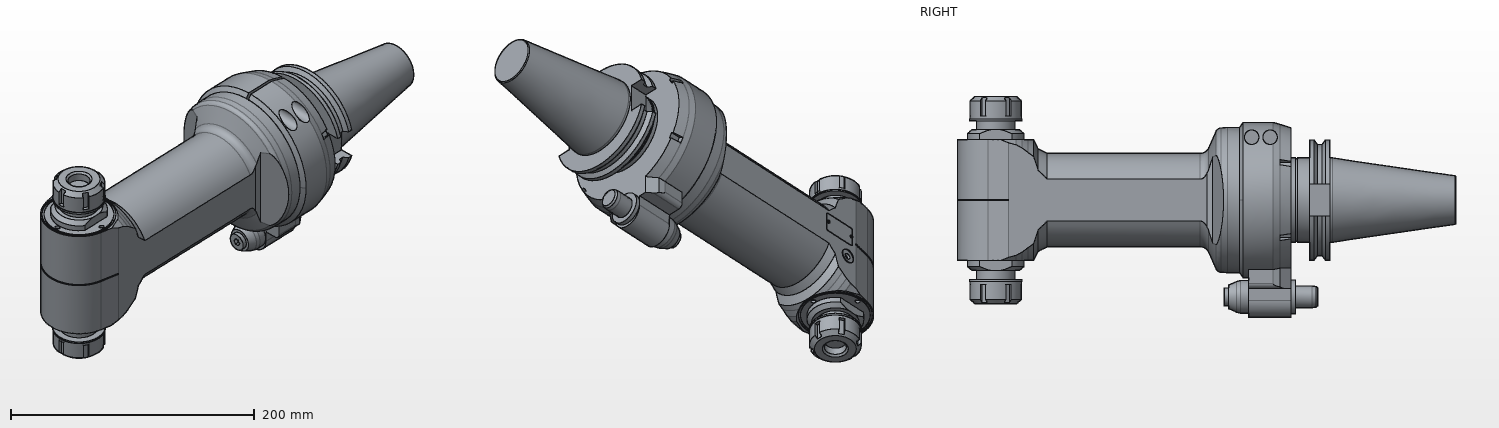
import cadquery as cq
import math


taper_end = 101.5
flange_start = 103.5
flange_end = 120.5
collar_start = 135.5
collar_end = 177.8
arm_start = 210.5
arm_end = 336.0
head_start = 347.0
spindle_station = 378.0
overall_length = 409.5

taper_small_radius = 20.0
taper_end_chamfer = 1.0
neck_radius = 35.0
flange_radius = 49.5
flange_lip = 3.5
v_groove_depth = 3.5
v_groove_run = 3.0
relief_start = 130.3
relief_width = 1.5
relief_depth = 1.0
key_slot_width = 26.2
key_slot_floor = 36.0

collar_radius = 64.0
collar_rear_radius = 59.5
collar_bevel_radius = 62.3
collar_bevel_end = 144.5
collar_bevel_blend = 150.5
collar_front_bevel_start = 175.0
slit_width = 2.5
wrench_notch_width = 5.0
wrench_notch_floor = 57.5
wrench_notch_angles = (60, 120, 240, 300)
clamp_hole_diameter = 12.0
clamp_hole_height = 51.5
clamp_hole_floor = 16.5
clamp_hole_stations = (152.8, 168.0)

lug_length = 35.0
lug_base_half_width = 28.5
lug_bevel_half_width = 27.5
lug_rear_half_width = 20.5
lug_base_bottom = -72.5
lug_base_corner_radius = 4.0
pin_height = -79.5
lug_eye_height = -82.5
lug_eye_radius = 14.0
pin_radius = 9.0
pin_rear = 113.5
pin_shoulder_length = 3.5
pin_shoulder_radius = 14.0
pin_cap_radius = 13.5
pin_cap_straight = 6.5
pin_cap_bevel_end = 180.2
pin_cap_bevel_radius = 12.5
pin_cone_end = 186.8
pin_cone_radius = 10.0
pin_tip_radius = 7.5
pin_front = 190.5
pin_nose_radius = 7.5
pin_crown_length = 1.5
pin_crown_radius = 8.5
pin_lead_end = 118.5
pin_socket_size = 6.0
pin_socket_depth = 3.3

hub_radius = 60.0
hub_land_end = 187.5
hub_front_radius = 59.5
hub_round_start = 193.0
cone_start = 197.0
cone_start_radius = 57.0
cone_end = 203.0
cone_end_radius = 43.0
arm_radius = 38.5
flat_half_width = 34.5
hub_flat_outer_station = 191.0
hub_flat_inner_station = 200.0
hub_flat_inner_half_width = 36.0
hub_flat_root_station = 204.5
head_half_height = 49.5
head_shoulder_station = 367.5
head_flare = (
    (343.2, 42.0),
    (head_start, head_half_height),
    (351.5, 52.0),
    (356.5, 55.0),
    (361.3, 57.0),
    (374.8, 60.0),
)
seam_width = 1.0
seam_depth = 0.5
ring_groove_outer_radius = 30.5
ring_groove_inner_radius = 28.5
ring_groove_depth = 1.0
face_hole_diameter = 4.0
face_hole_circle_radius = 26.0
face_hole_depth = 2.5
face_hole_count = 4
plate_start = 333.0
plate_length = 30.0
plate_bottom = -5.0
plate_height = 18.5
plate_corner_radius = 1.5
plate_thickness = 0.5
rivet_diameter = 2.5
rivet_inset = 1.5
rivet_rise = 1.2
plug_station = 358.5
plug_height = -17.5
plug_diameter = 12.5
plug_recess = 1.0
plug_socket_diameter = 5.5
plug_socket_depth = 3.3

boss_radius = 23.5
boss_top_radius = 19.5
boss_bevel_height = 54.5
boss_top = 57.8
boss_flat_half_width = 19.3
spindle_neck_radius = 16.0
nut_bottom = 65.0
nut_rim_top = 66.8
nut_top = 85.0
nut_rim_radius = 21.7
nut_radius = 21.5
nut_chamfer_height = 3.5
nut_face_radius = 17.0
nut_slot_count = 6
nut_slot_width = 5.0
nut_slot_bottom = 69.2
nut_slot_floor = 18.5
bore_radius = 9.0
bore_mouth_radius = 10.5
bore_depth = 8.0


def on_axis(points):
    """Turn (station, radius) pairs into points of the XY plane."""
    return [(radius, -station) for station, radius in points]


def turned(points):
    """Revolve a closed (station, radius) outline about the Y axis."""
    return cq.Workplane("XY").polyline(on_axis(points)).close().revolve(360, (0, 0), (0, 1))


def block(x_range, station_range, z_range):
    """Box given by its limits in X, station and Z."""
    x0, x1 = x_range
    s0, s1 = station_range
    z0, z1 = z_range
    box = cq.Workplane("XY").box(x1 - x0, s1 - s0, z1 - z0, centered=False)
    return box.translate((x0, -s1, z0))


def cylinder_along_x(x0, x1, station, height, diameter):
    """Cylinder parallel to X between x0 and x1."""
    disc = cq.Workplane("YZ", origin=(x0, -station, height)).circle(diameter / 2)
    return disc.extrude(x1 - x0)


def make_shank():
    groove_bottom = flange_radius - v_groove_depth
    outline = [
        (0, 0),
        (0, taper_small_radius - taper_end_chamfer),
        (taper_end_chamfer, taper_small_radius),
        (taper_end, neck_radius),
        (flange_start, neck_radius),
        (flange_start, flange_radius),
        (flange_start + flange_lip, flange_radius),
        (flange_start + flange_lip + v_groove_run, groove_bottom),
        (flange_end - flange_lip - v_groove_run, groove_bottom),
        (flange_end - flange_lip, flange_radius),
        (flange_end, flange_radius),
        (flange_end, neck_radius),
        (relief_start, neck_radius),
        (relief_start, neck_radius - relief_depth),
        (relief_start + relief_width, neck_radius - relief_depth),
        (relief_start + relief_width, neck_radius),
        (collar_end, neck_radius),
        (collar_end, 0),
    ]
    shank = turned(outline)
    half_slot = key_slot_width / 2
    for x_range in ((-flange_radius, -key_slot_floor), (key_slot_floor, flange_radius)):
        shank = shank.cut(block(x_range, (flange_start, flange_end), (-half_slot, half_slot)))
    return shank


def make_lug():
    """Block under the collar that ends in a rounded eye for the stop pin."""
    stations = (collar_start, collar_start + lug_length)
    half_plan = [
        (stations[0], lug_rear_half_width),
        (collar_bevel_end, lug_bevel_half_width),
        (collar_bevel_blend, lug_base_half_width),
        (stations[1], lug_base_half_width),
    ]
    right_side = on_axis(half_plan)
    left_side = [(-x, y) for x, y in reversed(right_side)]
    plan = (
        cq.Workplane("XY", origin=(0, 0, lug_base_bottom))
        .polyline(right_side + left_side)
        .close()
        .extrude(-neck_radius - lug_base_bottom)
    )
    base = block(
        (-lug_base_half_width, lug_base_half_width), stations, (lug_base_bottom, -neck_radius)
    )
    base = base.edges("|Y and <Z").fillet(lug_base_corner_radius).intersect(plan)
    web = block((-lug_eye_radius, lug_eye_radius), stations, (lug_eye_height, lug_base_bottom))
    eye = cq.Workplane("XZ", origin=(0, -collar_start, lug_eye_height)).circle(lug_eye_radius)
    return base.union(web).union(eye.extrude(lug_length))


def make_collar():
    outline = [
        (collar_start, 0),
        (collar_start, collar_rear_radius),
        (collar_bevel_end, collar_bevel_radius),
        (collar_bevel_blend, collar_radius),
        (collar_front_bevel_start, collar_radius),
        (collar_end, hub_radius),
        (collar_end, 0),
    ]
    collar = turned(outline).union(make_lug())

    shank_bore = cq.Workplane("XZ", origin=(0, -collar_start, 0)).circle(neck_radius)
    pin_bore = cq.Workplane("XZ", origin=(0, -collar_start, pin_height)).circle(pin_radius)
    collar = collar.cut(shank_bore.extrude(collar_end - collar_start))
    collar = collar.cut(pin_bore.extrude(lug_length))

    half_slit = slit_width / 2
    collar = collar.cut(block((-half_slit, half_slit), (collar_start, collar_end), (0, collar_radius)))
    for station in clamp_hole_stations:
        collar = collar.cut(
            cylinder_along_x(
                clamp_hole_floor, collar_radius, station, clamp_hole_height, clamp_hole_diameter
            )
        )

    half_notch = wrench_notch_width / 2
    notch = block(
        (-half_notch, half_notch),
        (collar_start, collar_bevel_end),
        (wrench_notch_floor, collar_radius),
    )
    for angle in wrench_notch_angles:
        collar = collar.cut(notch.rotate((0, 0, 0), (0, 1, 0), angle))
    return collar


def make_pin():
    shoulder_start = collar_start - pin_shoulder_length
    cap_start = collar_start + lug_length
    outline = [
        (pin_rear, 0),
        (pin_rear, pin_nose_radius),
        (pin_rear + pin_crown_length, pin_crown_radius),
        (pin_lead_end, pin_radius),
        (shoulder_start, pin_radius),
        (shoulder_start, pin_shoulder_radius),
        (collar_start, pin_shoulder_radius),
        (collar_start, pin_radius),
        (cap_start, pin_radius),
        (cap_start, pin_cap_radius),
        (cap_start + pin_cap_straight, pin_cap_radius),
        (pin_cap_bevel_end, pin_cap_bevel_radius),
        (pin_cone_end, pin_cone_radius),
        (pin_cone_end, pin_tip_radius),
        (pin_front, pin_tip_radius),
        (pin_front, 0),
    ]
    socket = cq.Workplane("XZ", origin=(0, -pin_front, 0)).polygon(6, pin_socket_size)
    pin = turned(outline).cut(socket.extrude(-pin_socket_depth))
    return pin.translate((0, 0, pin_height))


def head_plan():
    """Plan of the arm and head: parallel sides that taper onto a round nose."""
    nose_radius = overall_length - spindle_station
    rise = spindle_station - head_shoulder_station
    distance = math.hypot(flat_half_width, rise)
    tangent_angle = math.acos(nose_radius / distance) - math.atan2(rise, flat_half_width)
    touch_x = nose_radius * math.cos(tangent_angle)
    touch_y = -spindle_station - nose_radius * math.sin(tangent_angle)
    return (
        cq.Workplane("XY")
        .moveTo(-flat_half_width, -arm_end)
        .lineTo(flat_half_width, -arm_end)
        .lineTo(flat_half_width, -head_shoulder_station)
        .lineTo(touch_x, touch_y)
        .threePointArc((0, -overall_length), (-touch_x, touch_y))
        .lineTo(-flat_half_width, -head_shoulder_station)
        .close()
    )


def make_hub_and_arm():
    """Turned hub, cone and arm, with flats on both sides."""
    body = (
        cq.Workplane("XY")
        .moveTo(0, -collar_end)
        .lineTo(hub_radius, -collar_end)
        .lineTo(hub_radius, -hub_land_end)
        .lineTo(hub_front_radius, -hub_round_start)
        .tangentArcPoint((cone_start_radius, -cone_start), relative=False)
        .lineTo(cone_end_radius, -cone_end)
        .tangentArcPoint((arm_radius, -arm_start), relative=False)
        .lineTo(arm_radius, -arm_end)
        .lineTo(0, -arm_end)
        .close()
        .revolve(360, (0, 0), (0, 1))
    )
    flat_outline = [
        (hub_flat_outer_station, hub_radius),
        (hub_flat_inner_station, hub_flat_inner_half_width),
        (hub_flat_root_station, flat_half_width),
        (arm_end, flat_half_width),
        (arm_end, hub_radius),
    ]
    side = (
        cq.Workplane("XY")
        .polyline(on_axis(flat_outline))
        .close()
        .extrude(hub_radius, both=True)
    )
    return body.cut(side).cut(side.mirror("YZ"))


def make_head():
    outline = [(arm_end, 0), (arm_end, arm_radius), *head_flare]
    outline += [(overall_length, head_flare[-1][1]), (overall_length, 0)]
    head = head_plan().extrude(head_half_height, both=True).intersect(turned(outline))

    seam = head_plan().offset2D(-seam_depth).extrude(seam_width / 2, both=True)
    band = block(
        (-flat_half_width, flat_half_width),
        (head_shoulder_station, overall_length),
        (-seam_width / 2, seam_width / 2),
    )
    head = head.cut(band.cut(seam))

    for side in (1, -1):
        face = cq.Workplane("XY", origin=(0, -spindle_station, side * head_half_height))
        groove = (
            face.circle(ring_groove_outer_radius)
            .circle(ring_groove_inner_radius)
            .extrude(-side * ring_groove_depth)
        )
        holes = (
            face.polarArray(face_hole_circle_radius, 0, 360, face_hole_count)
            .circle(face_hole_diameter / 2)
            .extrude(-side * face_hole_depth)
        )
        head = head.cut(groove).cut(holes)
    return head


def make_name_plate():
    """Raised plate with two rivets on the -X flat."""
    plate = block(
        (-flat_half_width - plate_thickness, -flat_half_width),
        (plate_start, plate_start + plate_length),
        (plate_bottom, plate_bottom + plate_height),
    )
    plate = plate.edges("|X").fillet(plate_corner_radius)
    middle = plate_bottom + plate_height / 2
    for station in (plate_start + rivet_inset, plate_start + plate_length - rivet_inset):
        plate = plate.union(
            cylinder_along_x(
                -flat_half_width - rivet_rise, -flat_half_width, station, middle, rivet_diameter
            )
        )
    return plate


def make_arm():
    arm = make_hub_and_arm().union(make_head()).union(make_name_plate())
    for diameter, depth in ((plug_diameter, plug_recess), (plug_socket_diameter, plug_socket_depth)):
        arm = arm.cut(
            cylinder_along_x(
                -flat_half_width, -flat_half_width + depth, plug_station, plug_height, diameter
            )
        )
    return arm


def make_spindle():
    """Upper spindle: flatted boss, neck and slotted collet nut with its bore."""
    outline = [
        (0, head_half_height),
        (boss_radius, head_half_height),
        (boss_radius, boss_bevel_height),
        (boss_top_radius, boss_top),
        (spindle_neck_radius, boss_top),
        (spindle_neck_radius, nut_bottom),
        (nut_rim_radius, nut_bottom),
        (nut_rim_radius, nut_rim_top),
        (nut_radius, nut_rim_top),
        (nut_radius, nut_top - nut_chamfer_height),
        (nut_face_radius, nut_top),
        (bore_mouth_radius, nut_top),
        (bore_radius, nut_top - (bore_mouth_radius - bore_radius)),
        (bore_radius, nut_top - bore_depth),
        (0, nut_top - bore_depth),
    ]
    spindle = cq.Workplane("XZ").polyline(outline).close().revolve(360, (0, 0), (0, 1))

    flat_depth = boss_radius - boss_flat_half_width
    flat = cq.Workplane("XY", origin=(0, 0, head_half_height)).pushPoints(
        [(side * (boss_flat_half_width + flat_depth / 2), 0) for side in (1, -1)]
    )
    spindle = spindle.cut(flat.rect(flat_depth, 2 * boss_radius).extrude(boss_top - head_half_height))

    slot_depth = nut_rim_radius - nut_slot_floor
    slot = (
        cq.Workplane("XY", origin=(0, nut_slot_floor + slot_depth / 2, nut_slot_bottom))
        .rect(nut_slot_width, slot_depth)
        .extrude(nut_top - nut_slot_bottom)
    )
    for index in range(nut_slot_count):
        spindle = spindle.cut(slot.rotate((0, 0, 0), (0, 0, 1), index * 360 / nut_slot_count))
    return spindle.translate((0, -spindle_station, 0))


shank = make_shank()
collar = make_collar()
arm = make_arm()
stop_pin = make_pin()
upper_spindle = make_spindle()
spindles = [upper_spindle, upper_spindle.mirror("XY")]

result = cq.Compound.makeCompound(
    [
        shank.val(),
        collar.val(),
        arm.val(),
        stop_pin.val(),
        *[spindle.val() for spindle in spindles],
    ]
)